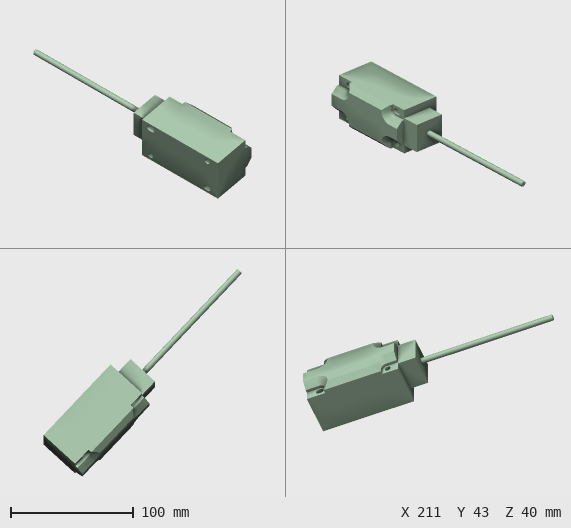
import cadquery as cq

total_length = 211.0
housing_length = 80.0
housing_depth = 43.0
housing_height = 40.0
edge_chamfer = 4.9

gland_length = 15.5
gland_front = 7.8
gland_height = 25.1
cable_diameter = 5.0
cable_center_y = 21.5
tip_fillet = 1.0

hole_diameter = 5.0
hole_edge_offset = 5.0
left_hole_inset = 8.9
right_hole_inset = 11.4
left_slot_length = 8.0
right_slot_length = 6.8
recess_floor_y = 35.0
recess_straight_depth = 2.5
recess_corner_radius = 4.0
flare_angle = 45
recess_width = hole_edge_offset + recess_corner_radius
left_recess_length = 13.5
right_recess_length = 16.0

cable_start_x = housing_length - total_length
middle_z = housing_height / 2


def make_housing():
    """Block with its two long back edges chamfered."""
    block = cq.Workplane("XY").box(housing_length, housing_depth, housing_height, centered=False)
    return block.edges(">Y and |X").chamfer(edge_chamfer)


def make_gland():
    gland_depth = recess_floor_y - gland_front
    return (
        cq.Workplane("XY")
        .box(gland_length, gland_depth, gland_height, centered=False)
        .translate((-gland_length, gland_front, middle_z - gland_height / 2))
    )


def make_cable():
    cable_length = total_length - housing_length - gland_length
    cable = (
        cq.Workplane("YZ", origin=(cable_start_x, cable_center_y, middle_z))
        .circle(cable_diameter / 2)
        .extrude(cable_length)
    )
    return cable.faces("<X").edges().fillet(tip_fillet)


def make_recess(end_x, end_z, length):
    """Corner pocket centred on a housing corner: straight walls, then flared walls."""
    flare_start_y = recess_floor_y + recess_straight_depth
    flare_height = housing_depth - flare_start_y

    outline = cq.Sketch().rect(2 * length, 2 * recess_width).vertices().fillet(recess_corner_radius)
    straight = (
        cq.Workplane("XZ", origin=(end_x, recess_floor_y, end_z))
        .placeSketch(outline)
        .extrude(-recess_straight_depth)
    )
    flare = (
        cq.Workplane("XZ", origin=(end_x, flare_start_y, end_z))
        .placeSketch(outline)
        .extrude(-flare_height, taper=-flare_angle)
    )
    return straight.union(flare)


def make_hole(center_x, center_z, length):
    """Through hole along Y, drawn out along X when it is longer than its diameter."""
    sketch = cq.Workplane("XZ", origin=(center_x, 0, center_z))
    if length > hole_diameter:
        sketch = sketch.slot2D(length, hole_diameter)
    else:
        sketch = sketch.circle(hole_diameter / 2)
    return sketch.extrude(-housing_depth)


result = make_housing()

for recess_x, recess_length in ((0, left_recess_length), (housing_length, right_recess_length)):
    for recess_z in (0, housing_height):
        result = result.cut(make_recess(recess_x, recess_z, recess_length))

left_hole_x = left_hole_inset
right_hole_x = housing_length - right_hole_inset
lower_hole_z = hole_edge_offset
upper_hole_z = housing_height - hole_edge_offset
for hole_x, hole_z, hole_length in (
    (left_hole_x, upper_hole_z, left_slot_length),
    (right_hole_x, upper_hole_z, hole_diameter),
    (left_hole_x, lower_hole_z, hole_diameter),
    (right_hole_x, lower_hole_z, right_slot_length),
):
    result = result.cut(make_hole(hole_x, hole_z, hole_length))

result = result.union(make_gland()).union(make_cable())